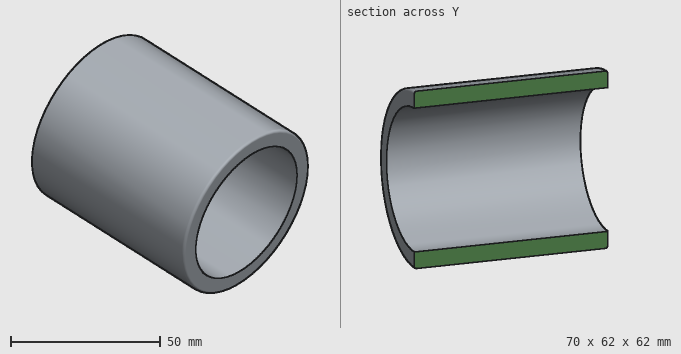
import cadquery as cq

length = 70.0
outer_diameter = 62.0
bore_diameter = 50.0
edge_radius = 1.0

end_plane = cq.Workplane("YZ", origin=(-length / 2, 0, 0))

body = end_plane.circle(outer_diameter / 2).extrude(length)
body = body.faces("<X or >X").edges().fillet(edge_radius)

bore = end_plane.circle(bore_diameter / 2).extrude(length)

result = body.cut(bore)